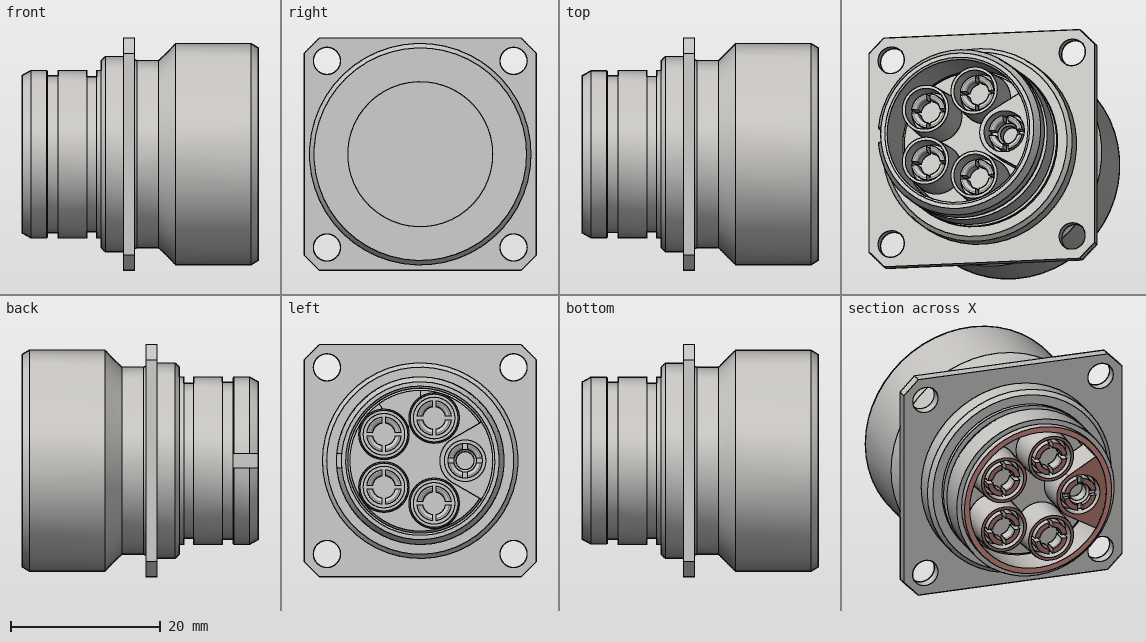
import cadquery as cq
import math

length = 31.5
nose_chamfer_length = 1.2
nose_radius = 10.52
barrel_radius = 11.18
lip_end = 3.37
lip_chamfer = 0.13
seal_groove_end = 4.8
seal_groove_radius = 10.5
barrel_end = 8.63
relief_end = 9.92
relief_radius = 10.35
collar_end = 10.52
boss_radius = 13.05
boss_chamfer = 0.57
flange_front = 13.5
flange_thickness = 1.48
flange_back = flange_front + flange_thickness
neck_radius = 12.5
neck_flare_length = 0.3
neck_flare = 0.13
cone_start = 18.2
cone_end = 20.48
rear_radius = 14.77
rear_chamfer_length = 0.98
rear_chamfer_drop = 0.6

flange_size = 31.0
flange_corner = 2.05
mounting_hole_pitch = 24.9
mounting_hole_diameter = 3.6
bore_radius = 9.67
mouth_chamfer_drop = 0.28
mouth_chamfer_length = 0.15
key_slot_width = 2.0

floor_x = 8.5
floor_edge_chamfer = 0.28
tower_front = 1.9
tower_tip_radius = 3.18
tower_base_radius = 3.37
contact_circle_radius = 6.0
contact_count = 5
contact_pitch_angle = 360 / contact_count
first_contact_angle = contact_pitch_angle / 2
earth_contact_index = 2
earth_block_half_angle = 30.0
pad_half_angle = 18.0
pad_height = 0.3

socket_radius = 2.77
socket_floor = 5.67
contact_radius = 2.3
contact_bore_radius = 1.5
contact_mouth_rounding = 0.55
power_contact_tip = 3.45
power_slot_width = 0.47
earth_contact_tip = 2.58
earth_slot_width = 0.65
earth_slot_floor = 4.4
earth_hole_radius = 1.2
earth_hole_end = 6.3


def cylinder(start, end, radius, y=0.0, z=0.0):
    """Cylinder along X from start to end."""
    return cq.Workplane("YZ", origin=(start, y, z)).circle(radius).extrude(end - start)


def cone(start, end, start_radius, end_radius, y=0.0, z=0.0):
    """Truncated cone along X from start to end."""
    base = cq.Vector(start, y, z)
    return cq.Workplane(cq.Solid.makeCone(start_radius, end_radius, end - start, base, cq.Vector(1, 0, 0)))


def contact_position(index):
    """Y and Z of a contact; angles run from +Y towards +Z."""
    angle = math.radians(first_contact_angle + index * contact_pitch_angle)
    return contact_circle_radius * math.cos(angle), contact_circle_radius * math.sin(angle)


def shell_barrel():
    """Turned outside of the shell, without the flange."""
    profile = [
        (0, 0),
        (0, nose_radius),
        (nose_chamfer_length, barrel_radius),
        (lip_end - lip_chamfer, barrel_radius),
        (lip_end, barrel_radius - lip_chamfer),
        (lip_end, seal_groove_radius),
        (seal_groove_end, seal_groove_radius),
        (seal_groove_end, barrel_radius),
        (barrel_end, barrel_radius),
        (barrel_end, relief_radius),
        (relief_end, relief_radius),
        (relief_end, barrel_radius),
        (collar_end, barrel_radius),
        (collar_end, boss_radius - boss_chamfer),
        (collar_end + boss_chamfer, boss_radius),
        (flange_back, boss_radius),
        (flange_back, neck_radius + neck_flare),
        (flange_back + neck_flare_length, neck_radius),
        (cone_start, neck_radius),
        (cone_end, rear_radius),
        (length - rear_chamfer_length, rear_radius),
        (length, rear_radius - rear_chamfer_drop),
        (length, 0),
    ]
    return cq.Workplane("XY").polyline(profile).close().revolve(360, (0, 0, 0), (1, 0, 0))


def shell_flange():
    """Square mounting flange with cut corners and four holes."""
    plate = (
        cq.Workplane("YZ", origin=(flange_front, 0, 0))
        .rect(flange_size, flange_size)
        .extrude(flange_thickness)
        .edges("|X")
        .chamfer(flange_corner)
    )
    holes = (
        cq.Workplane("YZ", origin=(flange_front, 0, 0))
        .rect(mounting_hole_pitch, mounting_hole_pitch, forConstruction=True)
        .vertices()
        .circle(mounting_hole_diameter / 2)
        .extrude(flange_thickness)
    )
    return plate.cut(holes)


def key_slot():
    """Slot through the front lip on the +Y side."""
    depth = barrel_radius - nose_radius
    slot = cq.Workplane("XY").box(lip_end, depth, key_slot_width, centered=(False, False, True))
    return slot.translate((0, nose_radius, 0))


def make_shell():
    mouth = cone(0, mouth_chamfer_length, bore_radius + mouth_chamfer_drop, bore_radius)
    bore = cylinder(0, length, bore_radius)
    return shell_barrel().union(shell_flange()).cut(bore).cut(mouth).cut(key_slot())


def insert_base():
    """Plug that fills the bore behind the floor."""
    return cylinder(floor_x, length, bore_radius).faces("<X").chamfer(floor_edge_chamfer)


def earth_block(y, z):
    """Raised block round the earth contact, widening outwards to the bore wall."""
    half_angle = math.radians(earth_block_half_angle)
    tangent_y = y + tower_base_radius * math.sin(half_angle)
    tangent_z = tower_base_radius * math.cos(half_angle)
    end_y = tangent_y - bore_radius * math.cos(half_angle)
    end_z = tangent_z + bore_radius * math.sin(half_angle)
    height = floor_x + floor_edge_chamfer - tower_front
    block = (
        cq.Workplane("YZ", origin=(tower_front, 0, 0))
        .moveTo(tangent_y, tangent_z)
        .threePointArc((y + tower_base_radius, z), (tangent_y, -tangent_z))
        .lineTo(end_y, -end_z)
        .lineTo(end_y, end_z)
        .close()
        .extrude(height)
    )
    return block.intersect(cylinder(tower_front, tower_front + height, bore_radius))


def floor_pad():
    """Shallow sector pad on the floor, from the gap between the first two towers to the floor edge."""
    edge_radius = bore_radius - floor_edge_chamfer
    middle = first_contact_angle + contact_pitch_angle / 2

    def rim_point(angle):
        return edge_radius * math.cos(math.radians(angle)), edge_radius * math.sin(math.radians(angle))

    sector = (
        cq.Workplane("YZ", origin=(floor_x - pad_height, 0, 0))
        .lineTo(*rim_point(middle - pad_half_angle))
        .threePointArc(rim_point(middle), rim_point(middle + pad_half_angle))
        .close()
        .extrude(pad_height)
    )
    gap_distance = contact_circle_radius * math.cos(math.radians(contact_pitch_angle / 2))
    return sector.cut(cylinder(floor_x - pad_height, floor_x, gap_distance))


def split_contact(y, z, tip, end, slot_width):
    """Contact sleeve with a rounded mouth, split by two crossing slots."""
    sleeve = cylinder(tip, end, contact_radius, y, z).cut(cylinder(tip, end, contact_bore_radius, y, z))
    inner_edge = cq.selectors.RadiusNthSelector(0)
    sleeve = sleeve.faces("<X").edges(inner_edge).fillet(contact_mouth_rounding)
    span = 2 * contact_radius
    slots = cq.Workplane("YZ", origin=(tip, y, z)).rect(span, slot_width).extrude(end - tip)
    slots = slots.union(cq.Workplane("YZ", origin=(tip, y, z)).rect(slot_width, span).extrude(end - tip))
    return sleeve.cut(slots)


def earth_contact_root(y, z):
    """Unsplit lower part of the earth contact with its funnel and narrower hole."""
    funnel_end = earth_slot_floor + contact_bore_radius - earth_hole_radius
    root = cylinder(earth_slot_floor, socket_floor, contact_radius, y, z)
    return root.cut(cone(earth_slot_floor, funnel_end, contact_bore_radius, earth_hole_radius, y, z))


def make_insert():
    positions = [contact_position(index) for index in range(contact_count)]
    earth = positions[earth_contact_index]
    power = [position for position in positions if position != earth]

    insert = insert_base().union(floor_pad()).union(earth_block(*earth))
    for position in power:
        insert = insert.union(cone(tower_front, floor_x, tower_tip_radius, tower_base_radius, *position))
    for position in positions:
        insert = insert.cut(cylinder(tower_front, socket_floor, socket_radius, *position))
    for position in power:
        insert = insert.union(split_contact(*position, power_contact_tip, socket_floor, power_slot_width))
    insert = insert.union(earth_contact_root(*earth))
    insert = insert.union(split_contact(*earth, earth_contact_tip, earth_slot_floor, earth_slot_width))
    return insert.cut(cylinder(earth_slot_floor, earth_hole_end, earth_hole_radius, *earth))


shell = make_shell()
insert = make_insert()
result = cq.Compound.makeCompound([*shell.solids().vals(), *insert.solids().vals()])